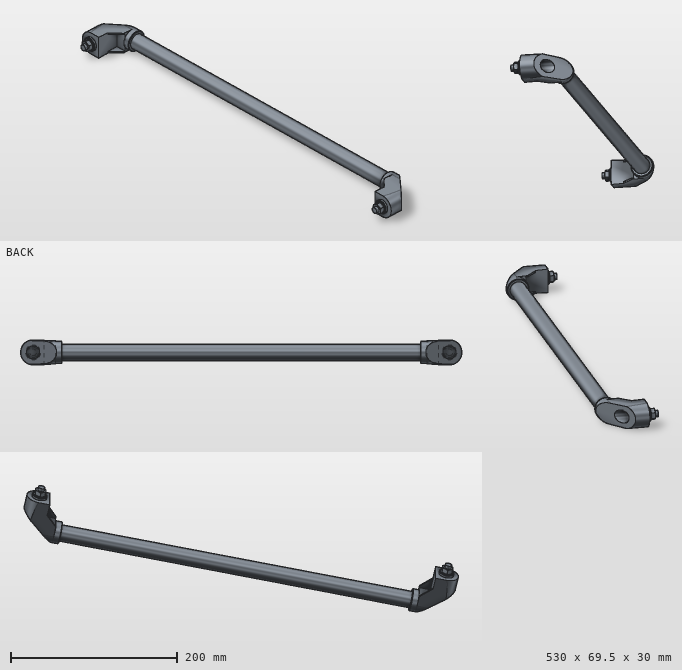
import cadquery as cq

overall_length = 530.0
overall_depth = 69.5
half_length = overall_length / 2
rail_diameter = 20.0

collar_diameter = 27.0
collar_radius = collar_diameter / 2
collar_outer_x = 223.0
collar_inner_x = 215.0
collar_chamfer = 0.8

foot_height = 30.0
foot_radius = foot_height / 2
foot_center_x = half_length - foot_radius
foot_inner_x = 237.0
foot_face_y = -42.5
outer_slope_foot_y = -25.0
outer_slope_collar_x = 221.5

cheek_foot_y = -27.0
pocket_height = 24.5
pocket_floor_y = -11.5

bore_diameter = 16.0
bore_floor_y = -32.0

washer_diameter = 18.0
washer_thickness = 2.5
lock_washer_diameter = 16.0
lock_washer_thickness = 1.0
nut_corner_diameter = 14.5
nut_thickness = 6.0
nut_chamfer = 0.8
stud_diameter = 8.0
stud_length = overall_depth - collar_radius + foot_face_y


def make_bracket_body():
    """Right-hand bracket: the common volume of its outlines along Z, Y and X."""
    side_outline = (
        cq.Workplane("XY")
        .polyline([
            (half_length, foot_face_y),
            (half_length, outer_slope_foot_y),
            (outer_slope_collar_x, collar_radius),
            (collar_inner_x, collar_radius),
            (collar_inner_x, -collar_radius),
            (collar_outer_x, -collar_radius),
            (foot_inner_x, cheek_foot_y),
            (foot_inner_x, foot_face_y),
        ])
        .close()
        .extrude(foot_radius, both=True)
    )

    rounded_end = (
        cq.Workplane("XZ", origin=(0, collar_radius, 0))
        .moveTo(collar_inner_x, -foot_radius)
        .lineTo(foot_center_x, -foot_radius)
        .threePointArc((half_length, 0), (foot_center_x, foot_radius))
        .lineTo(collar_inner_x, foot_radius)
        .close()
        .extrude(collar_radius - foot_face_y)
    )

    tapered_section = (
        cq.Workplane("YZ", origin=(collar_outer_x, 0, 0))
        .moveTo(foot_face_y, -foot_radius)
        .lineTo(0, -collar_radius)
        .threePointArc((collar_radius, 0), (0, collar_radius))
        .lineTo(foot_face_y, foot_radius)
        .close()
        .extrude(half_length - collar_outer_x)
    )
    collar_section = (
        cq.Workplane("YZ", origin=(collar_inner_x, 0, 0))
        .circle(collar_radius)
        .extrude(collar_outer_x - collar_inner_x)
        .faces("<X").chamfer(collar_chamfer)
    )
    return side_outline.intersect(rounded_end).intersect(tapered_section.union(collar_section))


def make_corner_pocket():
    """Pocket in the inner corner, leaving a cheek above and below."""
    return cq.Workplane("XY").box(
        foot_inner_x - collar_outer_x,
        pocket_floor_y - foot_face_y,
        pocket_height,
    ).translate((
        (foot_inner_x + collar_outer_x) / 2,
        (pocket_floor_y + foot_face_y) / 2,
        0,
    ))


def disc_below(start_y, diameter, thickness):
    """Disc on the stud axis, reaching from start_y towards -Y."""
    return (
        cq.Workplane("XZ", origin=(foot_center_x, start_y, 0))
        .circle(diameter / 2)
        .extrude(thickness)
    )


def make_screw_bore():
    return disc_below(collar_radius, bore_diameter, collar_radius - bore_floor_y)


def make_stud_hardware():
    """Washer, lock washer, hexagon nut and protruding stud end."""
    lock_washer_y = foot_face_y - washer_thickness
    nut_y = lock_washer_y - lock_washer_thickness
    washer = disc_below(foot_face_y, washer_diameter, washer_thickness)
    lock_washer = disc_below(lock_washer_y, lock_washer_diameter, lock_washer_thickness)
    hexagon = (
        cq.Workplane("XZ", origin=(foot_center_x, nut_y, 0))
        .transformed(rotate=(0, 0, 90))
        .polygon(6, nut_corner_diameter)
        .extrude(nut_thickness)
    )
    bevelled_disc = disc_below(nut_y, nut_corner_diameter, nut_thickness).edges().chamfer(nut_chamfer)
    nut = hexagon.intersect(bevelled_disc)
    stud = disc_below(foot_face_y, stud_diameter, stud_length)
    return washer.union(lock_washer).union(nut).union(stud)


bracket = make_bracket_body().cut(make_corner_pocket()).cut(make_screw_bore()).union(make_stud_hardware())

rail = (
    cq.Workplane("YZ", origin=(-collar_inner_x, 0, 0))
    .circle(rail_diameter / 2)
    .extrude(2 * collar_inner_x)
)

result = rail.union(bracket).union(bracket.mirror("YZ"))